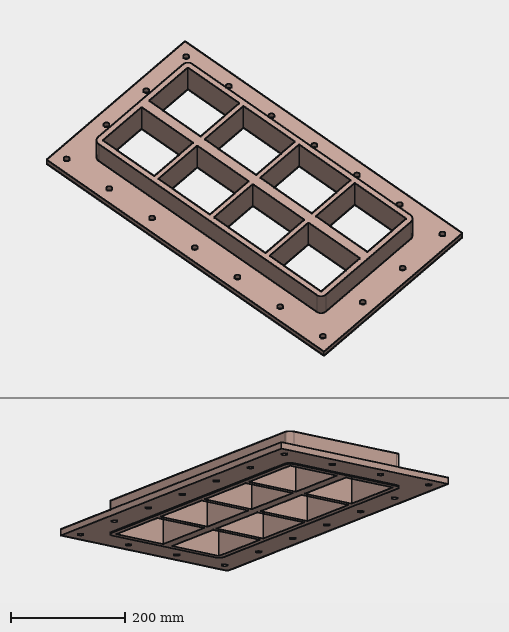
import cadquery as cq

plate_length = 652.0
plate_width = 362.0
plate_thickness = 12.0

frame_length = 535.0
frame_width = 244.5
frame_height = 60.0
frame_corner_radius = 11.0
frame_drop = 2.0

columns = 4
rows = 2
frame_wall = 11.0
column_rib = 10.0
row_rib = 19.5
window_length = (frame_length - 2 * frame_wall - (columns - 1) * column_rib) / columns
window_width = (frame_width - 2 * frame_wall - (rows - 1) * row_rib) / rows

hole_diameter = 10.5
hole_inset = 25.0
holes_along_x = 7
holes_along_y = 4
hole_pitch_x = (plate_length - 2 * hole_inset) / (holes_along_x - 1)
hole_pitch_y = (plate_width - 2 * hole_inset) / (holes_along_y - 1)


def make_plate():
    """Flat flange with its underside at Z = 0."""
    return cq.Workplane("XY").box(
        plate_length, plate_width, plate_thickness, centered=(True, True, False)
    )


def make_frame():
    """Solid block with rounded vertical corners, before the windows are cut."""
    return (
        cq.Workplane("XY", origin=(0, 0, -frame_drop))
        .rect(frame_length, frame_width)
        .extrude(frame_height)
        .edges("|Z")
        .fillet(frame_corner_radius)
    )


def make_windows():
    """Rectangular cutters running through the full frame height."""
    return (
        cq.Workplane("XY", origin=(0, 0, -frame_drop))
        .rarray(window_length + column_rib, window_width + row_rib, columns, rows)
        .rect(window_length, window_width)
        .extrude(frame_height)
    )


def make_bolt_holes():
    """Cutters for one ring of holes along the plate edge."""
    centers = []
    for i in range(holes_along_x):
        for j in range(holes_along_y):
            if i in (0, holes_along_x - 1) or j in (0, holes_along_y - 1):
                x = -plate_length / 2 + hole_inset + i * hole_pitch_x
                y = -plate_width / 2 + hole_inset + j * hole_pitch_y
                centers.append((x, y))
    return (
        cq.Workplane("XY")
        .pushPoints(centers)
        .circle(hole_diameter / 2)
        .extrude(plate_thickness)
    )


result = make_plate().union(make_frame()).cut(make_windows()).cut(make_bolt_holes())